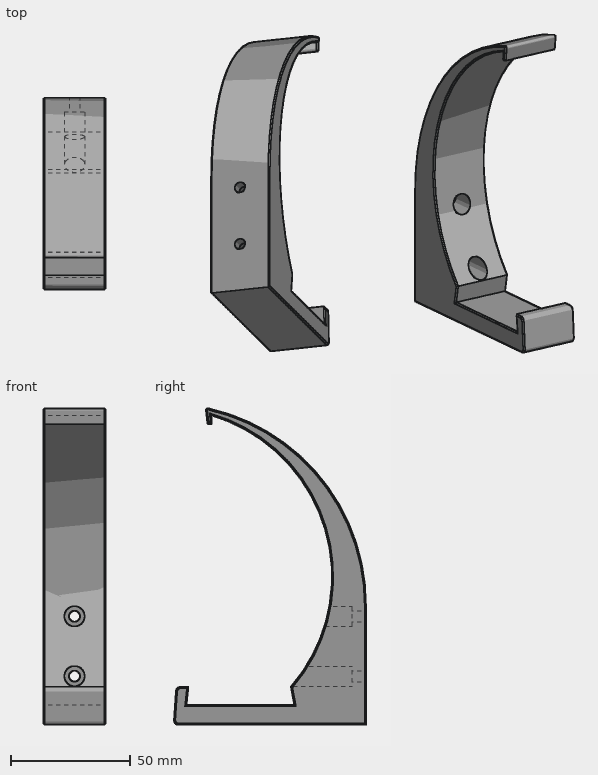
import cadquery as cq
import math

width = 26.0
length = 80.5
tip_height = 132.8

outer_depth, outer_height, outer_radius = 84.8, 50.0, 84.8
inner_depth, inner_height, inner_radius = 84.8, 62.0, 70.5

tip_depth = 67.2
lip_thickness = 2.0
lip_bottom = 125.8
lip_lean = 0.8
lip_round = 0.9
tip_round = 0.9

shelf_height = 8.4
step_depth = 30.1
step_top = 15.9
hook_top = 15.9
hook_root_depth = 75.2
hook_inner_depth = 74.4
hook_outer_depth = 79.5
hook_round = 2.0
toe_height = 2.3
toe_round = 2.0

edge_chamfer = 0.6

hole_diameter = 4.5
head_diameter = 8.5
hole_heights = (20.4, 45.5)
head_seat_depth = 6.0


def outer_z(depth):
    """Height of the upper half of the outer arc."""
    return outer_height + math.sqrt(outer_radius**2 - (depth - outer_depth) ** 2)


def inner_z(depth):
    """Height of the upper half of the inner arc."""
    return inner_height + math.sqrt(inner_radius**2 - (depth - inner_depth) ** 2)


def point(depth, z):
    """Profile point at a depth in front of the back plane."""
    return (-depth, z)


def make_body():
    """Extrude the side profile, then round the tip, lip and hook."""
    outer_mid_depth = 0.3 * tip_depth
    lip_top_depth = tip_depth - lip_thickness - lip_lean / 2
    lip_front_depth = tip_depth - lip_lean
    lip_back_depth = lip_front_depth - lip_thickness
    step_top_depth = inner_depth - math.sqrt(inner_radius**2 - (inner_height - step_top) ** 2)
    profile = (
        cq.Workplane("YZ", origin=(-width / 2, 0, 0))
        .moveTo(*point(0, 0))
        .lineTo(*point(0, outer_height))
        .threePointArc(
            point(outer_mid_depth, outer_z(outer_mid_depth)),
            point(tip_depth, tip_height),
        )
        .lineTo(*point(lip_front_depth, lip_bottom))
        .lineTo(*point(lip_back_depth, lip_bottom))
        .lineTo(*point(lip_top_depth, inner_z(lip_top_depth)))
        .threePointArc(
            point(inner_depth - inner_radius, inner_height),
            point(step_top_depth, step_top),
        )
        .lineTo(*point(step_depth, shelf_height))
        .lineTo(*point(hook_root_depth, shelf_height))
        .lineTo(*point(hook_inner_depth, hook_top))
        .lineTo(*point(hook_outer_depth, hook_top))
        .lineTo(*point(length, toe_height))
        .lineTo(*point(length, 0))
        .close()
    )
    body = profile.extrude(width)

    def round_edge(solid, depth, z, radius):
        edge = cq.selectors.NearestToPointSelector((0, -depth, z))
        return solid.edges("|X").edges(edge).fillet(radius)

    body = round_edge(body, tip_depth, tip_height, tip_round)
    body = round_edge(body, lip_front_depth, lip_bottom, lip_round)
    body = round_edge(body, lip_back_depth, lip_bottom, lip_round)
    body = round_edge(body, hook_outer_depth, hook_top, hook_round)
    body = round_edge(body, length, 0, toe_round)
    return body.faces("<X or >X").edges().chamfer(edge_chamfer)


def cylinder_forward(diameter, start_depth, z):
    """Cylinder running toward -Y from the given depth."""
    return (
        cq.Workplane("XZ", origin=(0, -start_depth, z))
        .circle(diameter / 2)
        .extrude(length / 2)
    )


result = make_body()
for hole_height in hole_heights:
    result = result.cut(cylinder_forward(hole_diameter, 0, hole_height))
    result = result.cut(cylinder_forward(head_diameter, head_seat_depth, hole_height))